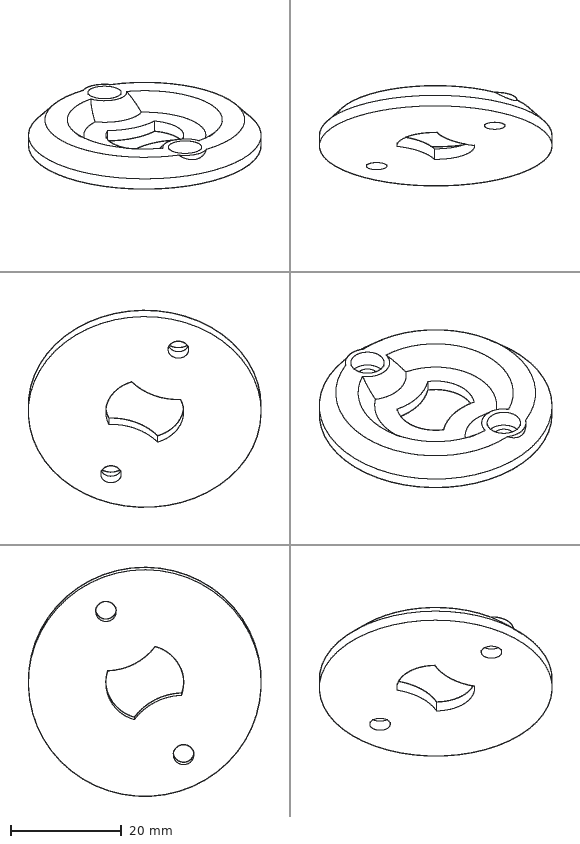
import cadquery as cq

outer_radius = 21.0
height = 5.0
bevel = 3.0
rim_height = height - bevel
top_radius = outer_radius - bevel

floor_height = rim_height
recess_top_radius = 14.0
recess_floor_radius = recess_top_radius - bevel

boss_offset = 15.0
boss_radius = 4.0
boss_foot_radius = boss_radius + bevel
screw_hole_diameter = 3.7
counterbore_diameter = 6.0
counterbore_depth = bevel

opening_radius = 7.0
opening_half_waist = 4.0
waist_arc_radius = boss_offset - opening_half_waist

sides = (-1, 1)


def cylinder(radius, x, bottom, top):
    return cq.Workplane("XY", origin=(x, 0, bottom)).circle(radius).extrude(top - bottom)


def cone(bottom_radius, end_radius, x):
    """Cone frustum from the recess floor up to the top face."""
    solid = cq.Solid.makeCone(
        bottom_radius, end_radius, bevel, pnt=cq.Vector(x, 0, floor_height)
    )
    return cq.Workplane(obj=solid)


def ring_body():
    profile = [
        (0, 0),
        (outer_radius, 0),
        (outer_radius, rim_height),
        (top_radius, height),
        (0, height),
    ]
    return cq.Workplane("XZ").polyline(profile).close().revolve(360, (0, 0), (0, 1))


def recess():
    """Dish with the flared inner halves of the bosses left standing."""
    dish = cone(recess_floor_radius, recess_top_radius, 0)
    for side in sides:
        dish = dish.cut(cone(boss_foot_radius, boss_radius, side * boss_offset))
    return dish


def opening():
    """Round opening narrowed by an arc concentric with each boss."""
    cutter = cylinder(opening_radius, 0, 0, height)
    for side in sides:
        cutter = cutter.cut(cylinder(waist_arc_radius, side * boss_offset, 0, height))
    return cutter


result = ring_body().cut(recess()).cut(opening())

for side in sides:
    boss_x = side * boss_offset
    result = result.union(cylinder(boss_radius, boss_x, floor_height, height))
    result = result.cut(cylinder(screw_hole_diameter / 2, boss_x, 0, height))
    result = result.cut(
        cylinder(counterbore_diameter / 2, boss_x, height - counterbore_depth, height)
    )